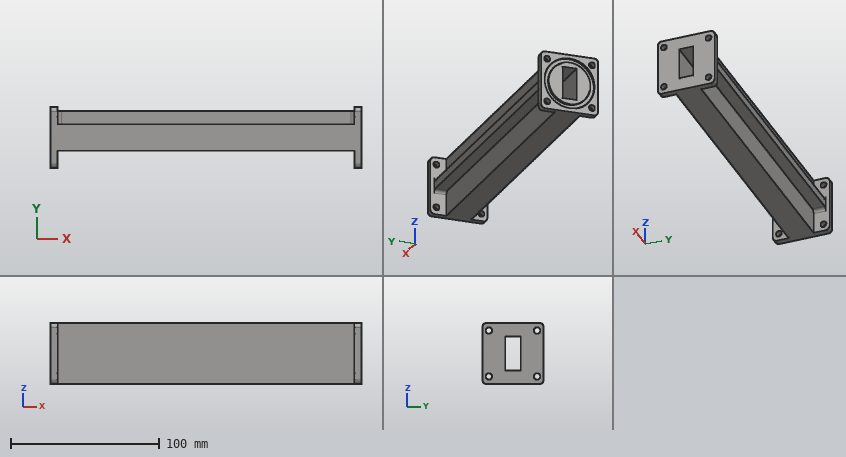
import cadquery as cq

total_length = 210.0
flange_side = 41.4
flange_thickness = 4.85
flange_corner_radius = 3.0
inner_length = total_length - 2 * flange_thickness

body_width = 18.16
body_height = flange_side

passage_width = 10.16
passage_height = 22.86

bolt_spacing_y = 32.5
bolt_spacing_z = 31.0
bolt_hole_diameter = 4.2

groove_outer_diameter = 36.2
groove_inner_diameter = 30.2
groove_depth = 1.75

rib_edge_y = 18.0
rib_thickness = 6.0
rib_fillet_radius = 2.3


def make_flange(start_x):
    """Square flange with rounded corners and four bolt holes, growing in +X from start_x."""
    return (
        cq.Workplane("YZ", origin=(start_x, 0, 0))
        .rect(flange_side, flange_side)
        .extrude(flange_thickness)
        .edges("|X")
        .fillet(flange_corner_radius)
        .faces("<X")
        .workplane(origin=(start_x, 0, 0))
        .rect(bolt_spacing_y, bolt_spacing_z, forConstruction=True)
        .vertices()
        .hole(bolt_hole_diameter)
    )


def make_rib():
    """Flat rib that flares with a concave fillet, above and below, where it meets each flange."""
    flared_thickness = rib_thickness + 2 * rib_fillet_radius
    relief_height = 2 * rib_fillet_radius
    relief_center_z = (rib_thickness + relief_height) / 2
    rib = cq.Workplane("XY").box(inner_length, rib_edge_y, flared_thickness)
    upper_relief = (
        cq.Workplane("XY")
        .box(inner_length, rib_edge_y, relief_height)
        .faces("<Z")
        .edges("|Y")
        .fillet(rib_fillet_radius)
        .translate((0, 0, relief_center_z))
    )
    rib = rib.cut(upper_relief).cut(upper_relief.mirror("XY"))
    return rib.translate((0, rib_edge_y / 2, 0))


def make_groove():
    """Ring that is removed from the -X flange face."""
    return (
        cq.Workplane("YZ", origin=(-total_length / 2, 0, 0))
        .circle(groove_outer_diameter / 2)
        .circle(groove_inner_diameter / 2)
        .extrude(groove_depth)
    )


body = cq.Workplane("XY").box(inner_length, body_width, body_height)
passage = cq.Workplane("XY").box(total_length, passage_width, passage_height)

result = (
    body.union(make_flange(-total_length / 2))
    .union(make_flange(inner_length / 2))
    .union(make_rib())
    .cut(passage)
    .cut(make_groove())
)